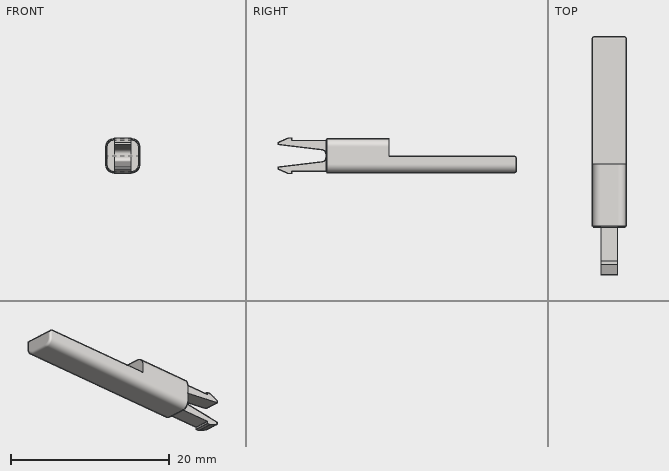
import cadquery as cq

total_length = 30.0
prong_length = 6.0
body_length = total_length - prong_length

body_size = 4.3
corner_radius = 1.0
block_length = 7.98
tongue_height = 2.1
front_chamfer = 0.18
rear_fillet = 0.3

prong_width = 2.1
prong_outer_height = 1.95
hook_height = 2.25
hook_length = 1.75
hook_ramp_length = 1.3
tip_outer_height = 1.68
tip_inner_height = 1.4
root_inner_height = 0.7
root_fillet = 0.5
root_depth = 0.6


def make_body():
    bar = (
        cq.Workplane("XZ")
        .rect(body_size, body_size)
        .extrude(-body_length)
        .edges("|Y")
        .fillet(corner_radius)
        .faces("<Y")
        .chamfer(front_chamfer)
    )
    tongue_top = tongue_height - body_size / 2
    relief = cq.Workplane("XY").box(
        body_size, body_length - block_length, body_size, centered=(True, False, False)
    ).translate((0, block_length, tongue_top))
    return bar.cut(relief).faces(">Y").edges().fillet(rear_fillet)


def make_fork():
    hook_start = hook_length - prong_length
    ramp_start = hook_ramp_length - prong_length
    upper = [
        (root_depth, prong_outer_height),
        (hook_start, prong_outer_height),
        (hook_start, hook_height),
        (ramp_start, hook_height),
        (-prong_length, tip_outer_height),
        (-prong_length, tip_inner_height),
        (0, root_inner_height),
    ]
    lower = [(y, -z) for y, z in reversed(upper)]
    fork = cq.Workplane("YZ").polyline(upper + lower).close().extrude(prong_width / 2, both=True)
    root_corners = cq.selectors.BoxSelector(
        (-prong_width, -root_depth / 2, -root_inner_height - root_fillet),
        (prong_width, root_depth / 2, root_inner_height + root_fillet),
    )
    return fork.edges(root_corners).edges("|X").fillet(root_fillet)


result = make_body().union(make_fork())